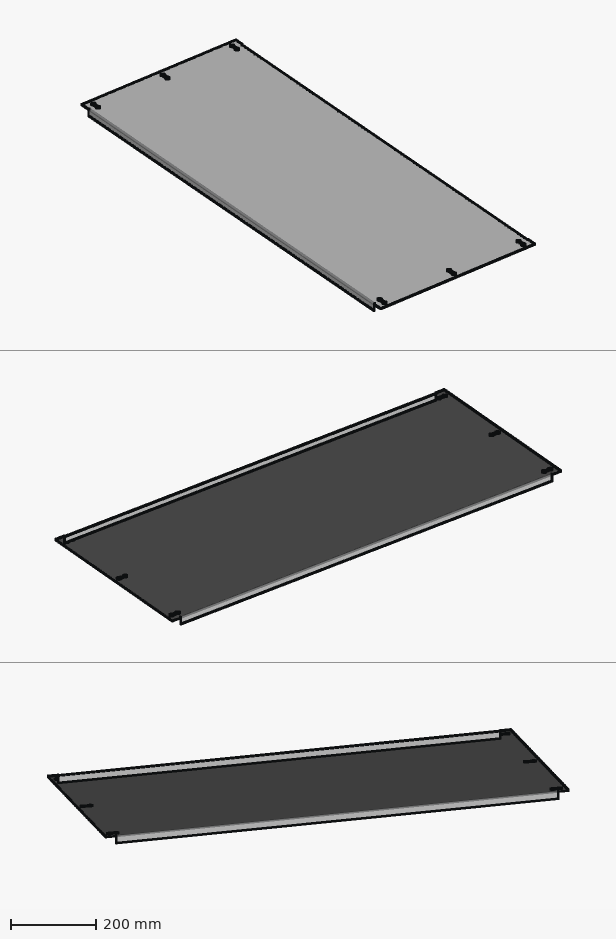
import cadquery as cq

LENGTH = 1137.5
WIDTH = 459.5
HEIGHT = 20.0
SHEET = 2.5

BEND_INNER_RADIUS = 1.0
BEND_OUTER_RADIUS = BEND_INNER_RADIUS + SHEET
FLANGE_LENGTH = 1086.0
TAB_LENGTH = (LENGTH - FLANGE_LENGTH) / 2

OUTER_HOLE_INSET = 14.75
INNER_HOLE_INSET = 33.0
HOLE_SPACING = INNER_HOLE_INSET - OUTER_HOLE_INSET
HOLE_DIAMETER = 10.0
NECK_WIDTH = 5.5
OUTER_ROW_OFFSET = 207.0
ROW_POSITIONS = (-OUTER_ROW_OFFSET, 0, OUTER_ROW_OFFSET)


def block_below(length, width, height, top_z, edge_radius):
    """Block hanging from top_z, with its two long top edges rounded."""
    return (
        cq.Workplane("XY", origin=(0, 0, top_z))
        .rect(length, width)
        .extrude(-height)
        .edges("|X and >Z")
        .fillet(edge_radius)
    )


def folded_channel():
    """Sheet with both long edges folded down, top face at Z = 0."""
    outer = block_below(FLANGE_LENGTH, WIDTH, HEIGHT, 0, BEND_OUTER_RADIUS)
    inner_width = WIDTH - 2 * SHEET
    inner = block_below(FLANGE_LENGTH, inner_width, HEIGHT, -SHEET, BEND_INNER_RADIUS)
    return outer.cut(inner)


def end_tab(side):
    """Flat extension of the sheet past the ends of the flanges."""
    center_x = side * (LENGTH - TAB_LENGTH) / 2
    return cq.Workplane("XY").center(center_x, 0).rect(TAB_LENGTH, WIDTH).extrude(-SHEET)


def mounting_opening(side, y):
    """Cutter for one pair of holes joined by a neck, through the sheet."""
    outer_x = side * (LENGTH / 2 - OUTER_HOLE_INSET)
    inner_x = side * (LENGTH / 2 - INNER_HOLE_INSET)
    holes = (
        cq.Workplane("XY")
        .pushPoints([(outer_x, y), (inner_x, y)])
        .circle(HOLE_DIAMETER / 2)
        .extrude(-SHEET)
    )
    neck = (
        cq.Workplane("XY")
        .center((outer_x + inner_x) / 2, y)
        .rect(HOLE_SPACING, NECK_WIDTH)
        .extrude(-SHEET)
    )
    return holes.union(neck)


result = folded_channel()
for side in (-1, 1):
    result = result.union(end_tab(side))
    for row_y in ROW_POSITIONS:
        result = result.cut(mounting_opening(side, row_y))